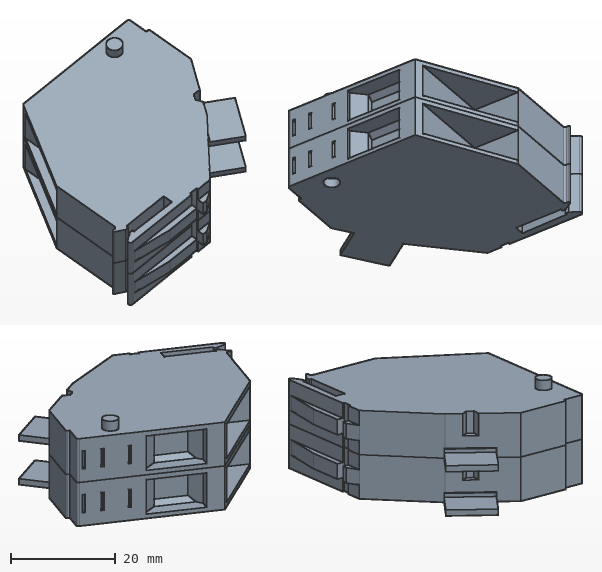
import cadquery as cq
import math

MODULE_COUNT = 2
MODULE_HEIGHT = 8.995

BODY_WIDTH = 39.22
LEFT_TOP_Y = 41.5
STEP_X = 4.6
TOP_Y = 42.25
TOP_END_X = 15.65
PLATE_FACE_END = (27.6, 33.85)
RIGHT_TOP_Y = 22.3
LEFT_BOTTOM_Y = 11.95
BOTTOM_Y = 1.1
BOTTOM_START_X = 18.9
CORNER_RADIUS = 0.5
STEP_RADIUS = 0.27

SLOT_LEFT_X = 35.6
SLOT_RIGHT_X = 37.75
SLOT_TOP_Y = 13.15
SLOT_TAPER = 0.2
HOOK_LEDGE_Y = 2.75
HOOK_NOSE_Y = 2.0
LEFT_NOSE_X = 36.1
RIGHT_NOSE_X = 37.15
LEFT_HOOK_X = 34.4
LEFT_TIP_X = 34.88
HOOK_ROOT_RADIUS = 0.4
LEFT_TIP_RADIUS = 0.2
RIGHT_TIP_RADIUS = 0.55
RIGHT_TIP_LEAN = math.radians(30)

TAB_OUTER_X = 40.5
TAB_BOTTOM_Z = 2.85
TAB_HEIGHT = 3.1
TAB_TOP_Y = 19.9
TAB_TAPER_Y = 9.6
GROOVE_X = 38.8
GROOVE_BOTTOM_Y = 17.15
GROOVE_TOP_Y = 18.9

OPENING_BOTTOM = 0.9
OPENING_TOP = MODULE_HEIGHT - 1.0

POCKET_LEFT_X = 1.37

FUNNEL_LOW_Y = 15.6
FUNNEL_HIGH_Y = 27.6
FUNNEL_INNER_HIGH_Y = 25.1
FUNNEL_LOW_STRAIGHT = 2.2
FUNNEL_TAPER_DEPTH = 3.3
FUNNEL_TAPER_LENGTH = 1.25
FUNNEL_INSET = 1.0
FUNNEL_DEPTH = FUNNEL_TAPER_DEPTH + FUNNEL_TAPER_LENGTH

SLIT_CENTERS_Y = (30.9, 36.35, 40.1)
SLIT_WIDTH = 0.6
SLIT_BOTTOM_Z = 2.7
SLIT_HEIGHT = 3.65
SLIT_DEPTH = 0.9

PIN_X = 3.55
PIN_Y = 33.75
PIN_DIAMETER = 3.2
PIN_HEIGHT = 2.0

PLATE_OFFSET = 4.65
PLATE_WIDTH = 10.02
PLATE_CORNER_Y = 45.75
PLATE_THICKNESS = 1.25
FOOT_REACH = 0.45
FOOT_HEIGHT = 2.0

NOTCH_FLOOR_Z = MODULE_HEIGHT / 2
NOTCH_OUTLINE = ((22.4, 38.0), (22.15, 37.07), (22.15, 35.98), (23.4, 35.2), (25.17, 36.1))


def box(x0, x1, y0, y1, z0, z1):
    return cq.Workplane("XY").box(x1 - x0, y1 - y0, z1 - z0, centered=False).translate((x0, y0, z0))


def prism(points, z0, z1):
    return cq.Workplane("XY").workplane(offset=z0).polyline(points).close().extrude(z1 - z0)


def round_edge(solid, x, y, radius):
    """Fillet the full-height edge at (x, y)."""
    near = 0.025
    edge = cq.selectors.BoxSelector(
        (x - near, y - near, -near), (x + near, y + near, MODULE_HEIGHT + near), boundingbox=True)
    return solid.edges(edge).fillet(radius)


def make_blank():
    tip_x = BODY_WIDTH - RIGHT_TIP_RADIUS
    tip_end = (
        tip_x - RIGHT_TIP_RADIUS * math.cos(RIGHT_TIP_LEAN),
        RIGHT_TIP_RADIUS * (1 - math.sin(RIGHT_TIP_LEAN)),
    )
    upper_outline = [
        (0, LEFT_BOTTOM_Y),
        (0, LEFT_TOP_Y),
        (STEP_X, LEFT_TOP_Y),
        (STEP_X, TOP_Y),
        (TOP_END_X, TOP_Y),
        PLATE_FACE_END,
        (BODY_WIDTH, RIGHT_TOP_Y),
        (BODY_WIDTH, RIGHT_TIP_RADIUS),
    ]
    lower_outline = [
        tip_end,
        (RIGHT_NOSE_X, HOOK_NOSE_Y),
        (RIGHT_NOSE_X, HOOK_LEDGE_Y),
        (SLOT_RIGHT_X - SLOT_TAPER, HOOK_LEDGE_Y),
        (SLOT_RIGHT_X, SLOT_TOP_Y),
        (SLOT_LEFT_X, SLOT_TOP_Y),
        (SLOT_LEFT_X, HOOK_LEDGE_Y),
        (LEFT_NOSE_X, HOOK_LEDGE_Y),
        (LEFT_NOSE_X, HOOK_NOSE_Y),
        (LEFT_TIP_X, 0),
        (LEFT_HOOK_X, 0),
        (LEFT_HOOK_X, BOTTOM_Y),
        (BOTTOM_START_X, BOTTOM_Y),
    ]
    outline = cq.Workplane("XY").polyline(upper_outline).threePointArc((tip_x, 0), tip_end)
    blank = outline.polyline(lower_outline).close().extrude(MODULE_HEIGHT)
    blank = round_edge(blank, 0, LEFT_TOP_Y, CORNER_RADIUS)
    blank = round_edge(blank, STEP_X, TOP_Y, STEP_RADIUS)
    blank = round_edge(blank, LEFT_HOOK_X, BOTTOM_Y, HOOK_ROOT_RADIUS)
    blank = round_edge(blank, LEFT_HOOK_X, 0, LEFT_TIP_RADIUS)
    return round_edge(blank, LEFT_TIP_X, 0, LEFT_TIP_RADIUS)


def make_tab():
    outline = [
        (BODY_WIDTH, RIGHT_TOP_Y),
        (TAB_OUTER_X, TAB_TOP_Y),
        (TAB_OUTER_X, TAB_TAPER_Y),
        (BODY_WIDTH, BOTTOM_Y),
    ]
    return prism(outline, TAB_BOTTOM_Z, TAB_BOTTOM_Z + TAB_HEIGHT)


def make_groove():
    return box(GROOVE_X, TAB_OUTER_X, GROOVE_BOTTOM_Y, GROOVE_TOP_Y, 0, MODULE_HEIGHT)


def make_pocket():
    """Square-cornered cutter that opens through the slanted face."""
    slope = (LEFT_BOTTOM_Y - BOTTOM_Y) / BOTTOM_START_X
    wall_y = LEFT_BOTTOM_Y - slope * POCKET_LEFT_X
    return box(POCKET_LEFT_X, BOTTOM_START_X, BOTTOM_Y, wall_y, OPENING_BOTTOM, OPENING_TOP)


def make_funnel():
    """Common volume of the funnel's plan section and its side section."""
    high_slope = FUNNEL_HIGH_Y - FUNNEL_INNER_HIGH_Y
    low_slope = FUNNEL_DEPTH - FUNNEL_LOW_STRAIGHT
    plan = [
        (0, FUNNEL_LOW_Y),
        (FUNNEL_LOW_STRAIGHT, FUNNEL_LOW_Y),
        (FUNNEL_DEPTH, FUNNEL_LOW_Y + low_slope),
        (FUNNEL_DEPTH, FUNNEL_INNER_HIGH_Y),
        (FUNNEL_TAPER_DEPTH, FUNNEL_INNER_HIGH_Y),
        (FUNNEL_TAPER_DEPTH - high_slope, FUNNEL_HIGH_Y),
        (0, FUNNEL_HIGH_Y),
    ]
    side = [
        (0, OPENING_BOTTOM),
        (FUNNEL_TAPER_DEPTH, OPENING_BOTTOM),
        (FUNNEL_DEPTH, OPENING_BOTTOM + FUNNEL_INSET),
        (FUNNEL_DEPTH, OPENING_TOP - FUNNEL_INSET),
        (FUNNEL_TAPER_DEPTH, OPENING_TOP),
        (0, OPENING_TOP),
    ]
    side_bar = cq.Workplane("XZ").polyline(side).close().extrude(-TOP_Y)
    return prism(plan, OPENING_BOTTOM, OPENING_TOP).intersect(side_bar)


def make_slit(center_y):
    low_y = center_y - SLIT_WIDTH / 2
    return box(0, SLIT_DEPTH, low_y, low_y + SLIT_WIDTH, SLIT_BOTTOM_Z, SLIT_BOTTOM_Z + SLIT_HEIGHT)


def make_pin(bottom_z):
    return cq.Workplane("XY").circle(PIN_DIAMETER / 2).extrude(PIN_HEIGHT).translate((PIN_X, PIN_Y, bottom_z))


def make_plate():
    """Thin plate with a thicker foot, laid along the sloping face."""
    end_x, end_y = PLATE_FACE_END
    face_angle = math.atan2(end_y - TOP_Y, end_x - TOP_END_X)
    corner_rise = PLATE_CORNER_Y - TOP_Y - PLATE_OFFSET * math.sin(face_angle)
    plate_reach = corner_rise / math.cos(face_angle)
    plate_end = PLATE_OFFSET + PLATE_WIDTH
    plate = box(PLATE_OFFSET, plate_end, 0, plate_reach, 0, PLATE_THICKNESS)
    foot = box(PLATE_OFFSET, plate_end, 0, FOOT_REACH, 0, FOOT_HEIGHT)
    turned = plate.union(foot).rotate((0, 0, 0), (0, 0, 1), math.degrees(face_angle))
    return turned.translate((TOP_END_X, TOP_Y, 0))


def make_module():
    module = make_blank().union(make_tab()).cut(make_groove())
    module = module.cut(make_pocket()).cut(make_funnel())
    for center_y in SLIT_CENTERS_Y:
        module = module.cut(make_slit(center_y))
    module = module.cut(prism(NOTCH_OUTLINE, NOTCH_FLOOR_Z, MODULE_HEIGHT))
    module = module.union(make_plate())
    return module.cut(make_pin(0)).union(make_pin(MODULE_HEIGHT))


modules = []
for level in range(MODULE_COUNT):
    modules.append(make_module().translate((0, 0, level * MODULE_HEIGHT)).solids().val())

result = cq.Compound.makeCompound(modules)